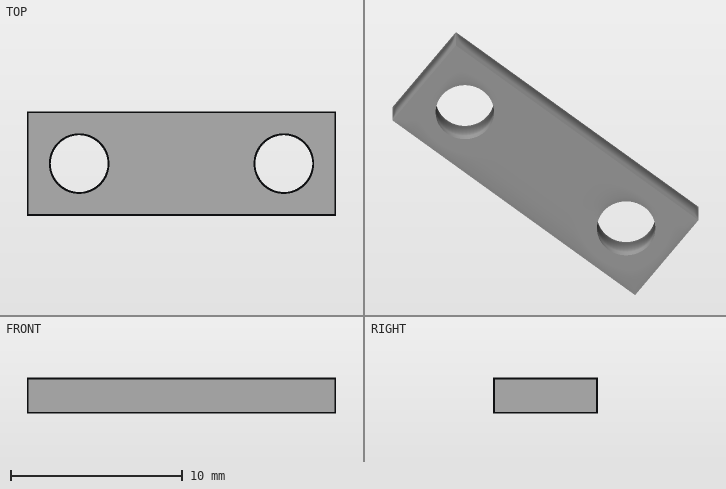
import cadquery as cq

length = 17.9
width = 6.0
thickness = 2.0

hole_diameter = 3.4
hole_spacing = length - width

plate = cq.Workplane("XY").box(length, width, thickness)

result = (
    plate.faces(">Z")
    .workplane()
    .rarray(hole_spacing, width, 2, 1)
    .hole(hole_diameter)
)